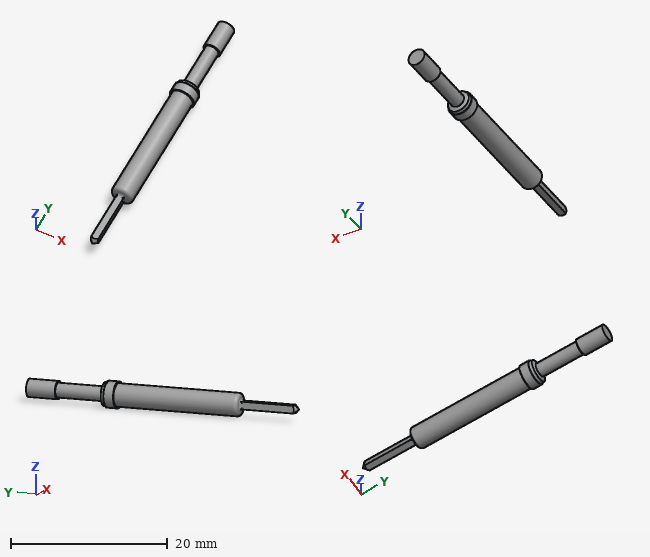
import cadquery as cq


head_dia = 2.4
neck_dia = 1.95
collar_dia = 3.5
collar_step_dia = 3.32
collar_rim_dia = 3.15
barrel_dia = 3.05

total_length = 37.3
head_length = 4.0
shoulder_to_top = 12.27
shoulder_to_barrel_end = 17.0
collar_band_length = 1.35
collar_taper_length = 0.45
collar_cap_length = 0.2
barrel_edge_radius = 0.5

pin_width = 1.0
root_corner_radius = 0.22
root_fillet_radius = 0.4
root_length = 2 * root_fillet_radius

barrel_end_y = -shoulder_to_barrel_end
pin_tip_y = shoulder_to_top - total_length
pin_length = barrel_end_y - pin_tip_y


def revolve_half_profile(points):
    """Revolve a closed outline of (radius, y) points about the Y axis."""
    return cq.Workplane("XY").polyline(points).close().revolve(360, (0, 0), (0, 1))


def square_bar(length):
    """Bar of the pin section, running from the barrel end toward -Y."""
    return cq.Workplane("XZ", origin=(0, barrel_end_y, 0)).rect(pin_width, pin_width).extrude(length)


def make_plunger_and_collar():
    """Head, neck and collar; beyond a small step the collar closes onto the neck in two cones."""
    head_start_y = shoulder_to_top - head_length
    taper_end_y = collar_band_length + collar_taper_length
    cap_end_y = taper_end_y + collar_cap_length
    return revolve_half_profile([
        (0, 0),
        (collar_dia / 2, 0),
        (collar_dia / 2, collar_band_length),
        (collar_step_dia / 2, collar_band_length),
        (collar_rim_dia / 2, taper_end_y),
        (neck_dia / 2, cap_end_y),
        (neck_dia / 2, head_start_y),
        (head_dia / 2, head_start_y),
        (head_dia / 2, shoulder_to_top),
        (0, shoulder_to_top),
    ])


def make_barrel_with_root():
    """Barrel with a rounded end, blended into a short round-cornered root of the pin."""
    barrel = cq.Workplane("XZ").circle(barrel_dia / 2).extrude(shoulder_to_barrel_end)
    barrel = barrel.faces("<Y").edges().fillet(barrel_edge_radius)
    root = square_bar(root_length).edges("|Y").fillet(root_corner_radius)
    joint_reach = 0.05
    joint = cq.selectors.BoxSelector(
        (-pin_width, barrel_end_y - joint_reach, -pin_width),
        (pin_width, barrel_end_y + joint_reach, pin_width),
    )
    return barrel.union(root).edges(joint).fillet(root_fillet_radius)


def make_pin():
    """Square pin sharpened to a point by a 45 degree cone."""
    point_cone = revolve_half_profile([
        (0, pin_tip_y),
        (pin_length, barrel_end_y),
        (0, barrel_end_y),
    ])
    return square_bar(pin_length).intersect(point_cone)


result = make_plunger_and_collar().union(make_barrel_with_root()).union(make_pin())